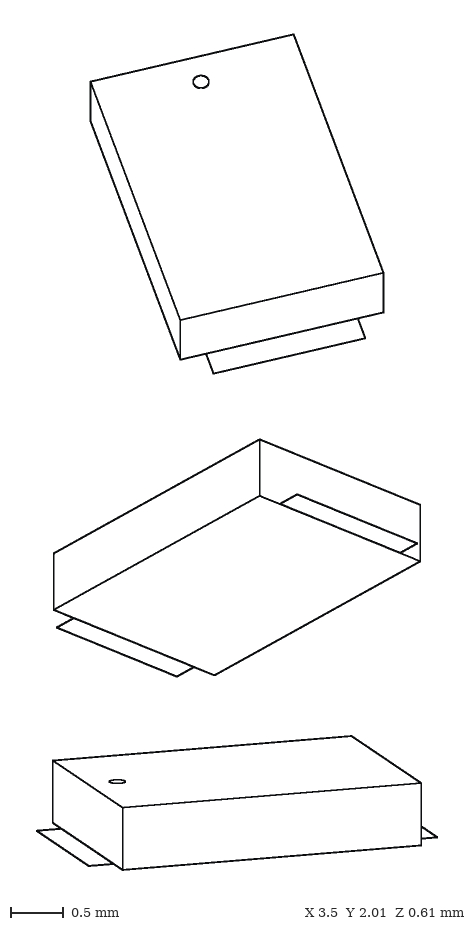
import cadquery as cq

overall_length = 3.5
body_length = 3.0
body_width = 2.01
body_height = 0.61

terminal_width = 1.5
terminal_thickness = 0.005
terminal_length = (overall_length - body_length) / 2

mark_diameter = 0.15
mark_depth = 0.01
mark_x = -1.2


def make_mark():
    return (
        cq.Workplane("XY", origin=(mark_x, 0, body_height - mark_depth))
        .circle(mark_diameter / 2)
        .extrude(mark_depth)
    )


def make_body(mark):
    """Rectangular block with a recess that the mark fills."""
    block = cq.Workplane("XY").box(
        body_length, body_width, body_height, centered=(True, True, False)
    )
    return block.cut(mark)


def make_terminal(side):
    """Plate that meets the end face of the body; side is -1 or +1 along X."""
    center_x = side * (body_length + terminal_length) / 2
    return cq.Workplane("XY", origin=(center_x, 0, 0)).box(
        terminal_length, terminal_width, terminal_thickness, centered=(True, True, False)
    )


mark = make_mark()
body = make_body(mark)
terminals = [make_terminal(side) for side in (-1, 1)]

result = cq.Compound.makeCompound(
    [body.val(), mark.val(), *[terminal.val() for terminal in terminals]]
)